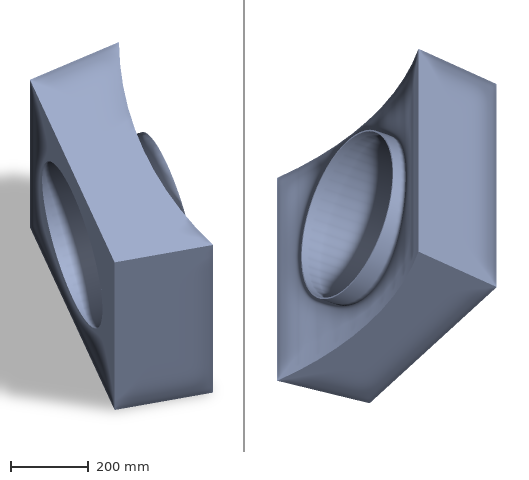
import cadquery as cq

back_width = 700.0
front_width = 630.0
height = 630.0
corner_depth = 257.5
middle_depth = 196.0

sleeve_diameter = 457.0
sleeve_wall = 4.0
sleeve_length = 260.0


def cylinder_along_y(diameter, length):
    """Cylinder on the Y axis, from the flat front face (Y = 0) towards +Y."""
    return cq.Workplane("XZ").circle(diameter / 2).extrude(-length)


def make_block():
    outline = (
        cq.Workplane("XY")
        .moveTo(-front_width / 2, 0)
        .lineTo(front_width / 2, 0)
        .lineTo(back_width / 2, corner_depth)
        .threePointArc((0, middle_depth), (-back_width / 2, corner_depth))
        .close()
    )
    bore = cylinder_along_y(sleeve_diameter, sleeve_length)
    return outline.extrude(height / 2, both=True).cut(bore)


def make_sleeve():
    outside = cylinder_along_y(sleeve_diameter, sleeve_length)
    inside = cylinder_along_y(sleeve_diameter - 2 * sleeve_wall, sleeve_length)
    return outside.cut(inside)


block = make_block()
sleeve = make_sleeve()

result = cq.Compound.makeCompound([block.val(), sleeve.val()])